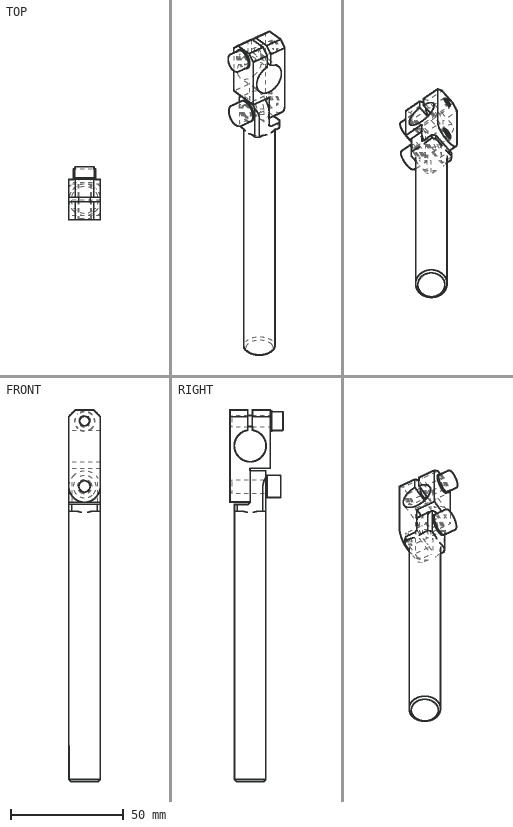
import cadquery as cq

total_height = 165.0
width = 14.0
rod_diameter = 14.0
rod_length = 120.0
rod_end_chamfer = 1.0

clamp_depth = 18.0
clamp_top_chamfer = 3.0
bore_diameter = 14.0
bore_below_top = 16.0
slot_width = 2.0
step_below_top = 26.0

pivot_below_top = 34.0
hinge_radius = width / 2
hinge_clearance = 1.0

tongue_stock_diameter = 18.0
ledge_corner_chamfer = 1.0
foot_fillet = 1.0

screw_tip_recess = 0.75
head_fillet = 0.5
clamp_screw_below_top = 5.0
clamp_screw_diameter = 5.0
clamp_thread_hole = 4.2
clamp_head_diameter = 8.5
clamp_head_length = 5.0
clamp_washer_diameter = 9.0
clamp_washer_bore = 5.3
hinge_screw_diameter = 6.0
hinge_thread_hole = 5.0
hinge_head_diameter = 10.0
hinge_head_length = 6.0
hinge_washer_diameter = 10.0
hinge_washer_bore = 6.4
washer_thickness = 0.6

clamp_front = -clamp_depth / 2
clamp_back = clamp_depth / 2
tongue_back = width / 2
bore_z = total_height - bore_below_top
step_z = total_height - step_below_top
pivot_z = total_height - pivot_below_top
clamp_screw_z = total_height - clamp_screw_below_top
ledge_z = pivot_z - hinge_radius - hinge_clearance
screw_tip = clamp_front + screw_tip_recess


def cylinder_along_y(diameter, z, y_start, y_end):
    """Cylinder parallel to Y, centred on X = 0 at the given height."""
    plane = cq.Workplane("XZ", origin=(0, y_start, z))
    return plane.circle(diameter / 2).extrude(y_start - y_end)


def block(y_start, y_end, z_start, z_end):
    """Box of the common width, centred on X = 0."""
    return (
        cq.Workplane("XY")
        .box(width, y_end - y_start, z_end - z_start, centered=(True, False, False))
        .translate((0, y_start, z_start))
    )


def make_clamp():
    """Split clamp block with a rounded half-thickness hinge lug below it."""
    body = block(clamp_front, clamp_back, step_z, total_height)
    body = body.edges("|Y and >Z").chamfer(clamp_top_chamfer)
    lug = block(clamp_front, 0, pivot_z, step_z)
    lug_end = cylinder_along_y(2 * hinge_radius, pivot_z, clamp_front, 0)
    bore = cq.Workplane("YZ").center(0, bore_z).circle(bore_diameter / 2).extrude(width, both=True)
    slot = block(-slot_width / 2, slot_width / 2, bore_z, total_height)
    clamp = body.union(lug).union(lug_end).cut(bore).cut(slot)
    clamp_hole = cylinder_along_y(clamp_screw_diameter, clamp_screw_z, screw_tip, clamp_back)
    clamp_hole_mouth = cylinder_along_y(clamp_thread_hole, clamp_screw_z, clamp_front, screw_tip)
    hinge_hole = cylinder_along_y(hinge_screw_diameter, pivot_z, screw_tip, 0)
    hinge_hole_mouth = cylinder_along_y(hinge_thread_hole, pivot_z, clamp_front, screw_tip)
    clamp = clamp.cut(clamp_hole).cut(clamp_hole_mouth)
    return clamp.cut(hinge_hole).cut(hinge_hole_mouth)


def make_foot_fillet():
    """Fillet ring between the rod and the underside of its foot, trimmed to the square foot."""
    rod_radius = rod_diameter / 2
    fillet_start_z = rod_length - foot_fillet
    ring = (
        cq.Workplane("XZ")
        .moveTo(0, fillet_start_z)
        .lineTo(rod_radius, fillet_start_z)
        .radiusArc((rod_radius + foot_fillet, rod_length), foot_fillet)
        .lineTo(0, rod_length)
        .close()
        .revolve(360, (0, 0, 0), (0, 1, 0))
    )
    return ring.intersect(block(-width / 2, width / 2, fillet_start_z, rod_length))


def make_tongued_rod():
    """Round rod carrying a squared foot and a rounded hinge tongue in one piece."""
    rod = cq.Workplane("XY").circle(rod_diameter / 2).extrude(rod_length)
    rod = rod.faces("<Z").chamfer(rod_end_chamfer)
    profile = (
        cq.Workplane("YZ")
        .moveTo(-width / 2, rod_length)
        .lineTo(tongue_back, rod_length)
        .lineTo(tongue_back, pivot_z + hinge_radius)
        .lineTo(0, pivot_z + hinge_radius)
        .lineTo(0, ledge_z + ledge_corner_chamfer)
        .lineTo(-ledge_corner_chamfer, ledge_z)
        .lineTo(-width / 2, ledge_z)
        .close()
        .extrude(width / 2, both=True)
    )
    outline = block(-width / 2, tongue_back, rod_length, pivot_z).union(
        cylinder_along_y(2 * hinge_radius, pivot_z, -width / 2, tongue_back)
    )
    stock = (
        cq.Workplane("XY", origin=(0, 0, rod_length))
        .circle(tongue_stock_diameter / 2)
        .extrude(total_height - rod_length)
    )
    tongue = profile.intersect(outline).intersect(stock)
    hole = cylinder_along_y(hinge_screw_diameter, pivot_z, 0, tongue_back)
    return rod.union(make_foot_fillet()).union(tongue).cut(hole)


def make_washer(outer_diameter, bore, z, seat):
    """Flat washer lying on the face at Y = seat."""
    outer = cylinder_along_y(outer_diameter, z, seat, seat + washer_thickness)
    return outer.cut(cylinder_along_y(bore, z, seat, seat + washer_thickness))


def make_screw(diameter, head_diameter, head_length, z, seat):
    """Cap screw whose head rests on a washer and whose tip stops inside the clamp."""
    head_seat = seat + washer_thickness
    shank = cylinder_along_y(diameter, z, screw_tip, head_seat)
    head = cylinder_along_y(head_diameter, z, head_seat, head_seat + head_length)
    head = head.faces(">Y").edges().fillet(head_fillet)
    return shank.union(head)


clamp = make_clamp()
tongued_rod = make_tongued_rod()
clamp_washer = make_washer(clamp_washer_diameter, clamp_washer_bore, clamp_screw_z, clamp_back)
hinge_washer = make_washer(hinge_washer_diameter, hinge_washer_bore, pivot_z, tongue_back)
clamp_screw = make_screw(
    clamp_screw_diameter,
    clamp_head_diameter,
    clamp_head_length,
    clamp_screw_z,
    clamp_back,
)
hinge_screw = make_screw(
    hinge_screw_diameter,
    hinge_head_diameter,
    hinge_head_length,
    pivot_z,
    tongue_back,
)

bodies = [clamp, tongued_rod, clamp_washer, hinge_washer, clamp_screw, hinge_screw]
result = cq.Compound.makeCompound([body.solids().val() for body in bodies])